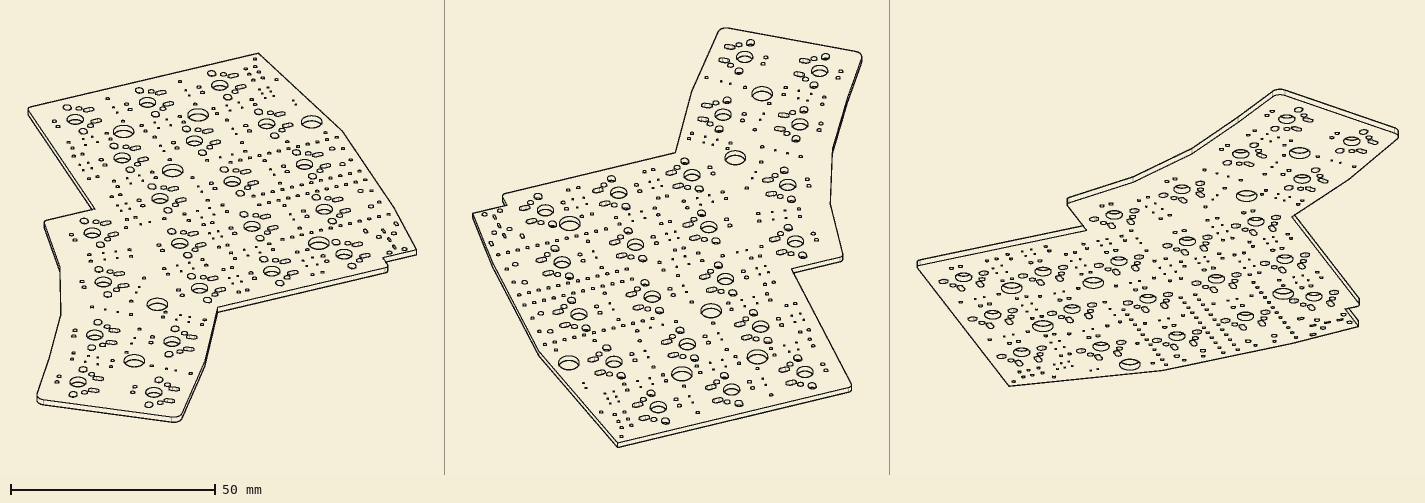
import cadquery as cq
import math


LENGTH = 132.5
WIDTH = 110.1
THICKNESS = 1.6
SIDES = (-1, 1)

GRID_BOTTOM = 41.9
LEFT_TOP = 103.0
NOTCH_X, NOTCH_Y = 90.0, 99.9
GRID_RIGHT = 94.1
THUMB_LEFT, THUMB_LEFT_BOTTOM = 45.0, 28.4
EDGE_ROUND = 1.0
THUMB_ROUND = 2.1
TIP_CENTER = (LENGTH - THUMB_ROUND, 28.6)
FOOT_CENTER = (112.1, THUMB_ROUND)
UPPER_NORMAL = 55
LOWER_NORMAL = UPPER_NORMAL - 180

KEY_PITCH = 76.2 / 4
FIRST_KEY_X, FIRST_KEY_Y = 8.9, 51.1
ROWS = 3
STAGGER_STEP = 2.4
STAGGER_COUNTS = (0, 2, 3, 2, 1)

THUMB_KEYS = [
    (54.0, 37.6, 0),
    (74.0, 32.6, -10),
    (93.5, 22.5, -30),
    (103.1, 39.1, -30),
    (121.0, 27.2, -35),
    (110.1, 11.5, -35),
]

STEM_HOLE = 4.0
LEG_SLOT_LENGTH, LEG_SLOT_WIDTH = 2.3, 1.9
LEG_X = 5.3
PIN_HOLE = 1.5
PIN_X, PIN_Y = 3.8, 2.5
PIN_SLOT_LENGTH = 2.7
PIN_SLOT_X, PIN_SLOT_Y = 2.5, 4.5
LOWER_PIN_HOLE = 1.0
LOWER_PIN_X, LOWER_PIN_Y = 1.2, -5.0

LEAD_HOLE = 0.8
LEAD_REACH = 5.0
VIA_HOLE = 0.4
NEAR, FAR = 1.2, 1.6

FIRST_DROP, SECOND_DROP = 8.5, 10.7
LAST_TOP_DROPS = (7.7, 10.3)
DIODES_BELOW_KEYS = [
    (0, 2, FIRST_DROP, NEAR),
    (0, 1, FIRST_DROP, NEAR),
    (1, 2, FIRST_DROP, NEAR),
    (1, 1, FIRST_DROP, NEAR),
    (1, 0, FIRST_DROP, NEAR),
    (1, 0, SECOND_DROP, NEAR),
    (2, 2, FIRST_DROP, NEAR),
    (2, 1, FIRST_DROP, NEAR),
    (2, 0, FIRST_DROP, NEAR),
    (2, 0, SECOND_DROP, NEAR),
    (3, 2, FIRST_DROP, NEAR),
    (3, 1, FIRST_DROP, NEAR),
    (3, 1, SECOND_DROP, NEAR),
    (4, 2, LAST_TOP_DROPS[0], FAR),
    (4, 2, LAST_TOP_DROPS[1], NEAR),
    (4, 1, FIRST_DROP, NEAR),
    (4, 1, SECOND_DROP, NEAR),
]

UPRIGHT_DIODES = [
    (17.2, 89.3, FAR),
    (19.5, 89.3, FAR),
    (17.2, 70.4, FAR),
    (19.7, 70.4, FAR),
    (17.1, 51.1, NEAR),
    (19.6, 51.1, FAR),
    (36.2, 55.5, FAR),
    (38.5, 55.5, FAR),
    (36.6, 79.9, FAR),
    (55.1, 66.5, FAR),
    (58.0, 66.5, FAR),
    (55.1, 51.1, NEAR),
    (74.3, 71.2, FAR),
    (76.9, 71.2, FAR),
    (74.3, 53.5, FAR),
    (76.9, 53.5, FAR),
]

THUMB_DIODES = [
    (63.1, 38.5, 80, FAR),
    (65.7, 37.9, 80, FAR),
    (80.0, 39.2, -40, NEAR),
    (99.2, 30.3, -40, NEAR),
    (85.7, 30.1, 50, FAR),
    (113.8, 34.6, 50, NEAR),
    (94.5, 46.0, 50, NEAR),
    (96.1, 44.7, 50, FAR),
    (104.0, 17.5, 50, FAR),
    (101.8, 18.8, 50, NEAR),
]

RESISTORS = [(36.7, 101.0, 90), (6.9, 102.2, 10)]

SOCKET_ROWS_X = (39.5, 54.6, 58.5, 73.8)
SOCKET_PINS = 12
SOCKET_FIRST_Y, SOCKET_LAST_Y = 79.9, 107.9
SOCKET_PITCH = (SOCKET_LAST_Y - SOCKET_FIRST_Y) / (SOCKET_PINS - 1)
BUTTON_CENTERS_X = (46.9, 65.7)
BUTTON_PIN_REACH, BUTTON_PIN_Y = 2.5, 107.6
BUTTON_PEG_HOLE = 1.3
BUTTON_PEG_REACH, BUTTON_PEG_Y = 3.5, 105.1

FIELD_X, FIELD_Y = (4.9, 7.3, 10.0), (97.7, 100.2)
FIELD_VIA_X, FIELD_VIA_Y = (14.0, 15.9, 17.9), (97.7, 99.9)
LOOSE_VIAS = [(21.3, 103.6), (23.2, 103.6)]

JACK_SLOT_LENGTH = 1.6
JACK_MIDDLE_SLOT_WIDTH, JACK_OUTER_SLOT_WIDTH = 0.5, 0.8
JACK_MIDDLE_SLOTS_X, JACK_MIDDLE_Y = (79.8, 83.6, 86.9), 104.2
JACK_OUTER_SLOTS = [(78.2, 108.1), (78.2, 100.0)]
JACK_HOLE = 1.2
JACK_HOLES_X, JACK_HOLES_Y = (81.6, 88.6), (102.2, 106.1)

MOUNT_HOLE = 5.0
MOUNTS = [
    (18.3, 79.8),
    (31.3, 104.5),
    (17.9, 60.3),
    (37.4, 65.5),
    (78.6, 87.6),
    (87.5, 41.5),
    (107.1, 27.5),
]


def on_circle(center, radius, degrees):
    angle = math.radians(degrees)
    return (center[0] + radius * math.cos(angle), center[1] + radius * math.sin(angle))


def offset_point(x, y, degrees, along, across):
    """The point reached from (x, y) along and across a direction at the given angle."""
    cos, sin = math.cos(math.radians(degrees)), math.sin(math.radians(degrees))
    return (x + along * cos - across * sin, y + along * sin + across * cos)


def mirrored(frames, along, across=0):
    """A point on each side of every (x, y, angle) frame."""
    return [offset_point(*frame, side * along, across) for frame in frames for side in SIDES]


def board():
    """The plain plate; its thumb end is closed by two tangent corner arcs."""
    rise, run = TIP_CENTER[1] - FOOT_CENTER[1], TIP_CENTER[0] - FOOT_CENTER[0]
    end_normal = math.degrees(math.atan2(rise, run)) - 90
    plate = (
        cq.Workplane("XY")
        .moveTo(0, GRID_BOTTOM)
        .lineTo(0, LEFT_TOP)
        .lineTo(37.6, WIDTH)
        .lineTo(71.8, WIDTH)
        .lineTo(NOTCH_X, 108.8)
        .lineTo(NOTCH_X, NOTCH_Y)
        .lineTo(GRID_RIGHT, NOTCH_Y)
        .lineTo(GRID_RIGHT, 54.7)
        .lineTo(113.5, 43.6)
        .lineTo(*on_circle(TIP_CENTER, THUMB_ROUND, UPPER_NORMAL))
        .threePointArc(
            on_circle(TIP_CENTER, THUMB_ROUND, (UPPER_NORMAL + end_normal) / 2),
            on_circle(TIP_CENTER, THUMB_ROUND, end_normal),
        )
        .lineTo(*on_circle(FOOT_CENTER, THUMB_ROUND, end_normal))
        .threePointArc(
            on_circle(FOOT_CENTER, THUMB_ROUND, (LOWER_NORMAL + end_normal) / 2),
            on_circle(FOOT_CENTER, THUMB_ROUND, LOWER_NORMAL),
        )
        .lineTo(98.5, 8.5)
        .lineTo(82.4, 18.0)
        .lineTo(64.1, 25.0)
        .lineTo(THUMB_LEFT, THUMB_LEFT_BOTTOM)
        .lineTo(THUMB_LEFT, GRID_BOTTOM)
        .close()
        .extrude(THICKNESS)
    )
    for x, y in [(0, GRID_BOTTOM), (GRID_RIGHT, NOTCH_Y), (THUMB_LEFT, THUMB_LEFT_BOTTOM)]:
        corner = cq.selectors.NearestToPointSelector((x, y, THICKNESS / 2))
        plate = plate.edges(corner).fillet(EDGE_ROUND)
    return plate


def round_holes(diameter, points):
    """Cutters for round through holes."""
    outlines = cq.Workplane("XY").pushPoints(points).circle(diameter / 2)
    return outlines.extrude(THICKNESS, combine=False).vals()


def slots(length, width, points, degrees=0):
    """Cutters for round-ended through slots turned by the given angle."""
    outlines = cq.Workplane("XY").pushPoints(points).slot2D(length, width, degrees)
    return outlines.extrude(THICKNESS, combine=False).vals()


def grid_key(column, row):
    x = FIRST_KEY_X + column * KEY_PITCH
    y = FIRST_KEY_Y + STAGGER_COUNTS[column] * STAGGER_STEP + row * KEY_PITCH
    return (x, y, 0)


def switch_cutters():
    columns = range(len(STAGGER_COUNTS))
    keys = [grid_key(column, row) for column in columns for row in range(ROWS)] + THUMB_KEYS
    cutters = round_holes(STEM_HOLE, [(x, y) for x, y, _ in keys])
    cutters += round_holes(PIN_HOLE, mirrored(keys, PIN_X, PIN_Y))
    cutters += round_holes(LOWER_PIN_HOLE, mirrored(keys, LOWER_PIN_X, LOWER_PIN_Y))
    for key in keys:
        angle = key[2]
        cutters += slots(LEG_SLOT_LENGTH, LEG_SLOT_WIDTH, mirrored([key], LEG_X), angle)
        cutters += slots(PIN_SLOT_LENGTH, PIN_HOLE, mirrored([key], PIN_SLOT_X, PIN_SLOT_Y), angle + 90)
    return cutters


def diode_cutters():
    diodes = [(x, y, 90, via) for x, y, via in UPRIGHT_DIODES] + THUMB_DIODES
    for column, row, drop, via in DIODES_BELOW_KEYS:
        x, y, angle = grid_key(column, row)
        diodes.append((x, y - drop, angle, via))
    frames = [diode[:3] for diode in diodes]
    cutters = round_holes(LEAD_HOLE, mirrored(frames + RESISTORS, LEAD_REACH))
    for x, y, angle, via in diodes:
        cutters += round_holes(VIA_HOLE, mirrored([(x, y, angle)], via))
    return cutters


def controller_cutters():
    heights = [SOCKET_FIRST_Y + pin * SOCKET_PITCH for pin in range(SOCKET_PINS)]
    cutters = round_holes(LEAD_HOLE, [(x, y) for x in SOCKET_ROWS_X for y in heights])
    pins = [(x, BUTTON_PIN_Y, 0) for x in BUTTON_CENTERS_X]
    pegs = [(x, BUTTON_PEG_Y, 0) for x in BUTTON_CENTERS_X]
    cutters += round_holes(LEAD_HOLE, mirrored(pins, BUTTON_PIN_REACH))
    cutters += round_holes(BUTTON_PEG_HOLE, mirrored(pegs, BUTTON_PEG_REACH))
    return cutters


def corner_cutters():
    cutters = round_holes(LEAD_HOLE, [(x, y) for x in FIELD_X for y in FIELD_Y])
    cutters += round_holes(VIA_HOLE, [(x, y) for x in FIELD_VIA_X for y in FIELD_VIA_Y] + LOOSE_VIAS)
    return cutters


def jack_cutters():
    middle_slots = [(x, JACK_MIDDLE_Y) for x in JACK_MIDDLE_SLOTS_X]
    cutters = slots(JACK_SLOT_LENGTH, JACK_MIDDLE_SLOT_WIDTH, middle_slots)
    cutters += slots(JACK_SLOT_LENGTH, JACK_OUTER_SLOT_WIDTH, JACK_OUTER_SLOTS)
    return cutters + round_holes(JACK_HOLE, [(x, y) for x in JACK_HOLES_X for y in JACK_HOLES_Y])


holes = (
    switch_cutters()
    + diode_cutters()
    + controller_cutters()
    + corner_cutters()
    + jack_cutters()
    + round_holes(MOUNT_HOLE, MOUNTS)
)
result = cq.Workplane(board().val().cut(*holes).Solids()[0])